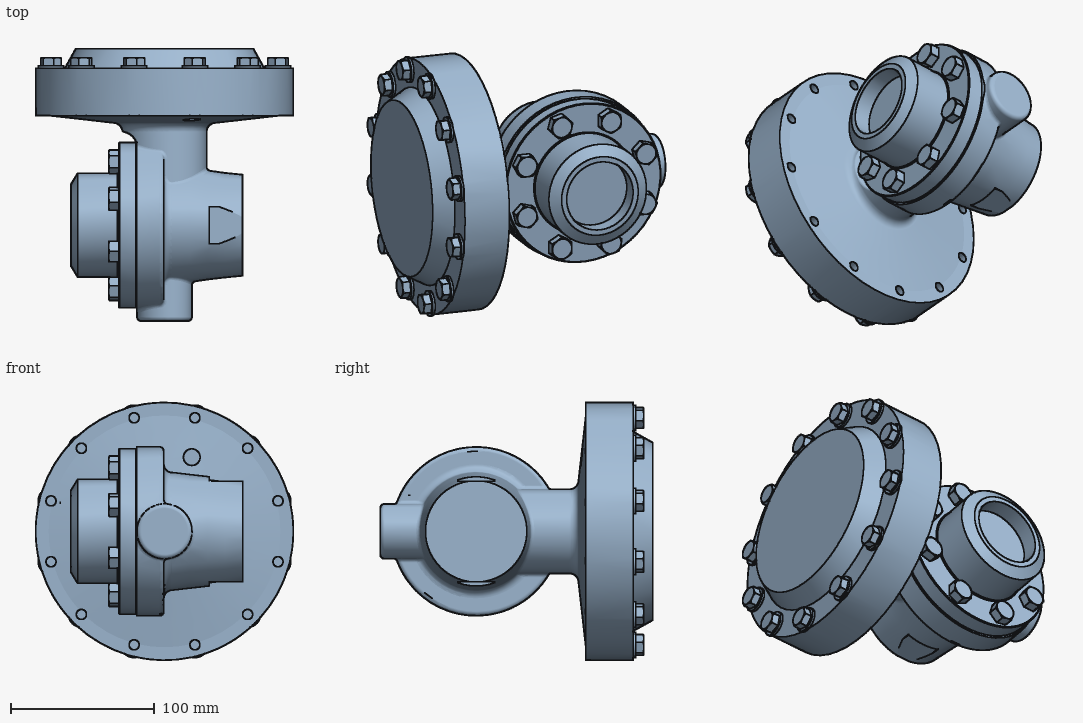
import cadquery as cq
import math


casing_radius = 89.7
casing_front_y = 76.2
casing_back_y = 109.2
parting_y = 95.4
front_cone_radius = 80.5
cap_base_radius = 69.4
cap_top_radius = 61.8
cap_top_y = 122.8
neck_radius = 29.4
neck_fillet = 6.0
neck_split_y = 57.8
cone_foot_y = 71.0
cone_foot_radius = neck_radius + neck_fillet

head_chamfer_angle = 30

casing_bolt_count = 12
casing_bolt_circle = 81.7
casing_hole_diameter = 7.0
casing_head_flats = 13.0
casing_head_height = 5.7
washer_radius = 9.0
washer_thickness = 1.7

port_x = 19.0
port_z = 51.5
port_diameter = 11.5
port_bottom_y = 85.3

flange_front_x = -31.8
joint_x = -19.3
cover_flange_radius = 57.6
flange_chamfer = 0.5
body_radius = 58.8
body_edge_fillet = 3.0
body_back_x = -0.4
outlet_root_fillet = 5.7
outlet_start_radius = 41.0
outlet_end_x = 54.5
outlet_end_radius = 35.3
clearance_radius = 64.8
clearance_fillet = 5.7
clearance_edge_fillet = 1.9
housing_blank_x = -38.3

flat_start_x = 31.0
flat_height = 34.9
flat_width = 25.5

hub_radius = 36.2
hub_end_x = -65.0
hub_chamfer_length = 4.5
hub_rim_radius = 28.5
hub_foot_radius = 36.8
hub_foot_length = 1.0
recess_radius = 24.6
recess_depth = 12.7

flange_bolt_count = 8
flange_bolt_circle = 47.8
flange_head_flats = 14.5
flange_head_height = 7.0

boss_radius = 19.1
boss_end_y = -66.7
boss_edge_fillet = 3.0
branch_fillet = 2.7

HEX_HALF_ANGLE = math.pi / 6


def y_cylinder(radius, start_y, end_y):
    """Cylinder centred on the Y axis, with its seam line on the Z side."""
    plane = cq.Plane(origin=(0, start_y, 0), xDir=(0, 0, 1), normal=(0, 1, 0))
    return cq.Workplane(plane).circle(radius).extrude(end_y - start_y)


def x_cylinder(radius, start_x, end_x):
    """Cylinder centred on the X axis."""
    return cq.Workplane("YZ", origin=(start_x, 0, 0)).circle(radius).extrude(end_x - start_x)


def hex_head(flats, height):
    """Hexagon head standing on Z = 0 with a vertex on +X and its top corners turned off."""
    corners = flats / math.cos(HEX_HALF_ANGLE)
    corner_width = (corners - flats) / 2
    corner_drop = corner_width * math.tan(math.radians(head_chamfer_angle))
    prism = cq.Workplane("XY").polygon(6, corners).extrude(height)
    envelope = cq.Workplane("XY").circle(corners / 2).extrude(height)
    envelope = envelope.faces(">Z").edges().chamfer(corner_drop, corner_width)
    return prism.intersect(envelope)


def casing_bolt_positions():
    """(x, z) of each casing bolt, straddling the X and Z axes."""
    pitch = 2 * math.pi / casing_bolt_count
    angles = [(index + 0.5) * pitch for index in range(casing_bolt_count)]
    return [(casing_bolt_circle * math.cos(a), casing_bolt_circle * math.sin(a)) for a in angles]


def make_casing():
    """Front half, back cover and cap, with the neck and its filleted root."""
    arc_inset = neck_fillet * (1 - math.sqrt(0.5))
    profile = (
        cq.Workplane("XY")
        .moveTo(0, neck_split_y)
        .lineTo(neck_radius, neck_split_y)
        .lineTo(neck_radius, cone_foot_y - neck_fillet)
        .threePointArc(
            (neck_radius + arc_inset, cone_foot_y - arc_inset),
            (cone_foot_radius, cone_foot_y),
        )
        .lineTo(front_cone_radius, casing_front_y)
        .lineTo(casing_radius, casing_front_y)
        .lineTo(casing_radius, casing_back_y)
        .lineTo(cap_base_radius, casing_back_y)
        .lineTo(cap_top_radius, cap_top_y)
        .lineTo(0, cap_top_y)
        .close()
    )
    return profile.revolve(360, (0, 0, 0), (0, 1, 0))


def make_casing_holes():
    """Blind bolt holes up to the parting plane, and the vent port."""
    holes = (
        cq.Workplane("XZ", origin=(0, parting_y, 0))
        .pushPoints(casing_bolt_positions())
        .circle(casing_hole_diameter / 2)
        .extrude(parting_y - cone_foot_y)
    )
    port = (
        cq.Workplane("XZ", origin=(0, port_bottom_y, 0))
        .center(port_x, port_z)
        .circle(port_diameter / 2)
        .extrude(port_bottom_y - cone_foot_y)
    )
    return holes.union(port)


def make_casing_bolts():
    """Washers and hexagon heads on the back cover."""
    washers = (
        cq.Workplane("XZ", origin=(0, casing_back_y, 0))
        .pushPoints(casing_bolt_positions())
        .circle(washer_radius)
        .extrude(-washer_thickness)
    )
    first_head = (
        hex_head(casing_head_flats, casing_head_height)
        .rotate((0, 0, 0), (0, 0, 1), math.degrees(HEX_HALF_ANGLE))
        .rotate((0, 0, 0), (1, 0, 0), -90)
        .translate((casing_bolt_circle, casing_back_y + washer_thickness, 0))
    )
    pitch = 360 / casing_bolt_count
    bolts = washers
    for index in range(casing_bolt_count):
        bolts = bolts.union(first_head.rotate((0, 0, 0), (0, 1, 0), (index + 0.5) * pitch))
    return bolts


def make_housing():
    """Round rim with the outlet cone, turned about X."""
    edge_middle = body_edge_fillet * (1 - math.sqrt(0.5))
    root_middle = outlet_root_fillet * (1 - math.sqrt(0.5))
    outlet_start_x = body_back_x + outlet_root_fillet
    root_radius = outlet_start_radius + outlet_root_fillet
    profile = (
        cq.Workplane("XZ")
        .moveTo(housing_blank_x, 0)
        .lineTo(housing_blank_x, body_radius)
        .lineTo(body_back_x - body_edge_fillet, body_radius)
        .threePointArc(
            (body_back_x - edge_middle, body_radius - edge_middle),
            (body_back_x, body_radius - body_edge_fillet),
        )
        .lineTo(body_back_x, root_radius)
        .threePointArc(
            (body_back_x + root_middle, outlet_start_radius + root_middle),
            (outlet_start_x, outlet_start_radius),
        )
        .lineTo(outlet_end_x, outlet_end_radius)
        .lineTo(outlet_end_x, 0)
        .close()
    )
    return profile.revolve(360, (0, 0, 0), (1, 0, 0))


def add_branch(housing, branch, side):
    """Join a branch that points to +Y (side 1) or -Y (side -1) and blend where it meets the housing."""
    joined = housing.union(branch)
    reach = neck_radius + branch_fillet
    meeting_edges = cq.selectors.BoxSelector(
        (-reach, 0, -reach), (reach, side * clearance_radius, reach), boundingbox=True
    )
    return joined.edges(meeting_edges).fillet(branch_fillet)


def make_outlet_flats():
    """Two cutters that leave level flats on the top and bottom of the outlet."""
    flat_length = outlet_end_x - flat_start_x
    middle_x = (outlet_end_x + flat_start_x) / 2
    upper = (
        cq.Workplane("XY", origin=(middle_x, 0, flat_height))
        .rect(flat_length, flat_width)
        .extrude(outlet_start_radius)
    )
    return upper.union(upper.mirror("XY"))


def make_bolt_clearance():
    """Round-cornered cutter that makes room for the cover flange in front of the joint."""
    blank = x_cylinder(clearance_radius, housing_blank_x, joint_x)
    return blank.faces(">X").edges().fillet(clearance_fillet)


def clear_casing(casing):
    """Clear the space for the cover flange and round the edge this leaves on the neck."""
    cleared = casing.cut(make_bolt_clearance())
    neck_edge = cq.selectors.BoxSelector(
        (flange_front_x, cover_flange_radius, -neck_radius),
        (joint_x - clearance_fillet - clearance_edge_fillet, clearance_radius, neck_radius),
    )
    return cleared.edges(neck_edge).fillet(clearance_edge_fillet)


def clear_housing(housing):
    """Clear the space for the cover flange and trim the neck where the casing takes over."""
    neck_stub = y_cylinder(2 * neck_radius, neck_split_y, cone_foot_y)
    return housing.cut(make_bolt_clearance()).cut(neck_stub)


def make_cover():
    """Cover flange with the chamfered inlet hub, its blind recess and eight bolt heads."""
    hub_foot_x = flange_front_x - hub_foot_length
    hub = x_cylinder(hub_radius, hub_end_x, flange_front_x)
    hub = hub.faces("<X").edges().chamfer(hub_chamfer_length, hub_radius - hub_rim_radius)
    flange = x_cylinder(cover_flange_radius, flange_front_x, joint_x).edges().chamfer(flange_chamfer)
    cover = (
        flange.union(x_cylinder(hub_foot_radius, hub_foot_x, flange_front_x))
        .union(hub)
        .cut(x_cylinder(recess_radius, hub_end_x, hub_end_x + recess_depth))
    )
    pitch = 360 / flange_bolt_count
    first_head = (
        hex_head(flange_head_flats, flange_head_height)
        .rotate((0, 0, 0), (0, 1, 0), -90)
        .rotate((0, 0, 0), (1, 0, 0), -pitch / 2)
        .translate((flange_front_x, 0, flange_bolt_circle))
    )
    for index in range(flange_bolt_count):
        cover = cover.union(first_head.rotate((0, 0, 0), (1, 0, 0), (index + 0.5) * pitch))
    return cover


neck = y_cylinder(neck_radius, 0, cone_foot_y)
boss = y_cylinder(boss_radius, 0, boss_end_y).faces("<Y").edges().fillet(boss_edge_fillet)
housing = add_branch(make_housing(), neck, 1)
housing = add_branch(housing, boss, -1)

casing = clear_casing(make_casing())
housing = clear_housing(housing.cut(make_outlet_flats()))
casting = housing.union(casing).cut(make_casing_holes())
result = casting.union(make_cover()).union(make_casing_bolts())